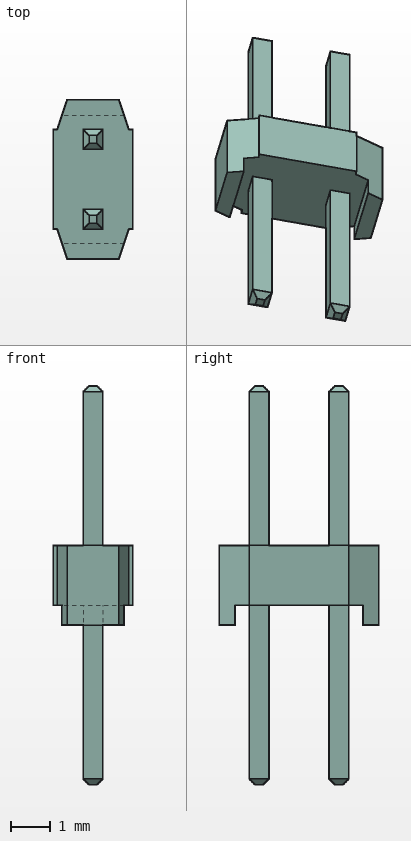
import cadquery as cq


pin_count = 2
pitch = 2.0
pin_width = 0.5
pin_length = 10.0
tip_chamfer = 0.15

body_width = 2.0
body_length = pin_count * pitch
body_height = 2.0
end_width = 1.3
taper_root_width = 1.8
middle_length = 2.5

foot_height = 0.5
foot_length = 0.4


def make_body():
    """Body with tapered ends, relieved underneath to leave a foot at each end."""
    half_length = body_length / 2
    half_middle = middle_length / 2
    tapered_ends = (
        cq.Workplane("XY")
        .workplane(offset=-body_height / 2)
        .polyline([
            (end_width / 2, half_length),
            (taper_root_width / 2, half_middle),
            (taper_root_width / 2, -half_middle),
            (end_width / 2, -half_length),
            (-end_width / 2, -half_length),
            (-taper_root_width / 2, -half_middle),
            (-taper_root_width / 2, half_middle),
            (-end_width / 2, half_length),
        ])
        .close()
        .extrude(body_height)
    )
    middle = cq.Workplane("XY").box(body_width, middle_length, body_height)
    relief = (
        cq.Workplane("XY")
        .workplane(offset=-body_height / 2)
        .rect(body_width, body_length - 2 * foot_length)
        .extrude(foot_height)
    )
    return tapered_ends.union(middle).cut(relief)


def make_pin(y):
    """Square pin at the given Y, chamfered to a blunt point at both ends."""
    return (
        cq.Workplane("XY")
        .box(pin_width, pin_width, pin_length)
        .faces("<Z or >Z")
        .chamfer(tip_chamfer)
        .translate((0, y, 0))
    )


result = make_body()
for index in range(pin_count):
    pin_y = (index - (pin_count - 1) / 2) * pitch
    result = result.union(make_pin(pin_y))